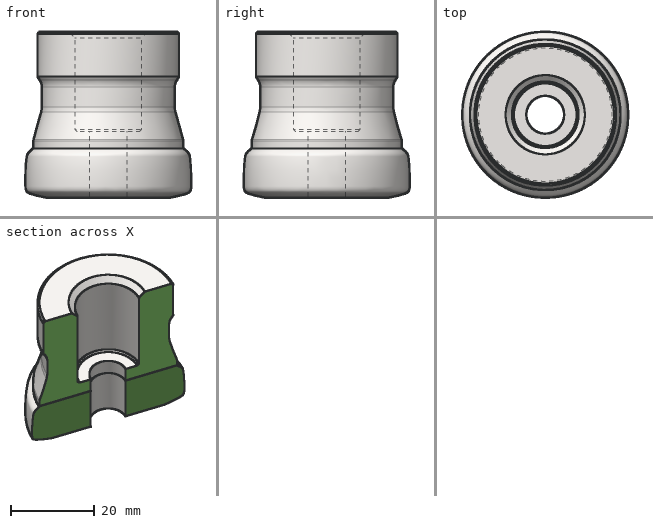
import cadquery as cq

total_height = 39.88
seam_height = 11.9
skirt_top = 13.68
flare_bottom = 13.95
flare_top = 20.58
neck_bottom = 21.8
neck_top = 26.65
shoulder_bottom = 28.3
shoulder_top = 29.07
rim_chamfer = 0.5

head_radius = 34.0 / 2
neck_radius = 32.0 / 2
shoulder_radius = 16.55
flare_top_radius = 16.15
flare_bottom_radius = 18.0
skirt_radius = 18.03

through_radius = 9.0 / 2
bore_radius = 16.0 / 2
bore_depth = 23.93
countersink_radius = 19.02 / 2
floor_bevel = 0.48

foot_radius = 19.95
foot_widest_height = 2.8
foot_top_radius = 18.1
foot_shoulder_radius = 19.62
foot_shoulder_height = 9.8
foot_heel_radius = 19.22
foot_heel_height = 1.2
foot_base_radius = 14.75
foot_curve_directions = [(4, 1), (2, 1), (0, 1), (-1, 8), (-1, 1)]


def revolve_profile(profile):
    """Turn a closed half profile, drawn in the XZ plane, about Z."""
    return profile.close().revolve(360, (0, 0, 0), (0, 1, 0))


def make_core():
    """Flared spool with a countersunk, stepped bore."""
    bore_floor = total_height - bore_depth
    countersink_depth = countersink_radius - bore_radius
    profile = (
        cq.Workplane("XZ")
        .moveTo(through_radius, seam_height)
        .lineTo(skirt_radius, seam_height)
        .lineTo(skirt_radius, skirt_top)
        .lineTo(flare_bottom_radius, flare_bottom)
        .lineTo(flare_top_radius, flare_top)
        .spline(
            [(neck_radius, neck_bottom)],
            tangents=[(flare_top_radius - flare_bottom_radius, flare_top - flare_bottom), (0, 1)],
            includeCurrent=True,
        )
        .lineTo(neck_radius, neck_top)
        .tangentArcPoint((shoulder_radius, shoulder_bottom), relative=False)
        .lineTo(head_radius, shoulder_top)
        .lineTo(head_radius, total_height - rim_chamfer)
        .lineTo(head_radius - rim_chamfer, total_height)
        .lineTo(countersink_radius, total_height)
        .lineTo(bore_radius, total_height - countersink_depth)
        .lineTo(bore_radius, bore_floor + floor_bevel)
        .lineTo(bore_radius - floor_bevel, bore_floor)
        .lineTo(through_radius, bore_floor)
    )
    return revolve_profile(profile)


def make_foot():
    """Rounded cushion ring under the core."""
    profile = (
        cq.Workplane("XZ")
        .moveTo(through_radius, 0)
        .lineTo(foot_base_radius, 0)
        .spline(
            [
                (foot_heel_radius, foot_heel_height),
                (foot_radius, foot_widest_height),
                (foot_shoulder_radius, foot_shoulder_height),
                (foot_top_radius, seam_height),
            ],
            tangents=foot_curve_directions,
            includeCurrent=True,
        )
        .lineTo(through_radius, seam_height)
    )
    return revolve_profile(profile)


core = make_core()
foot = make_foot()

result = cq.Compound.makeCompound([core.val(), foot.val()])